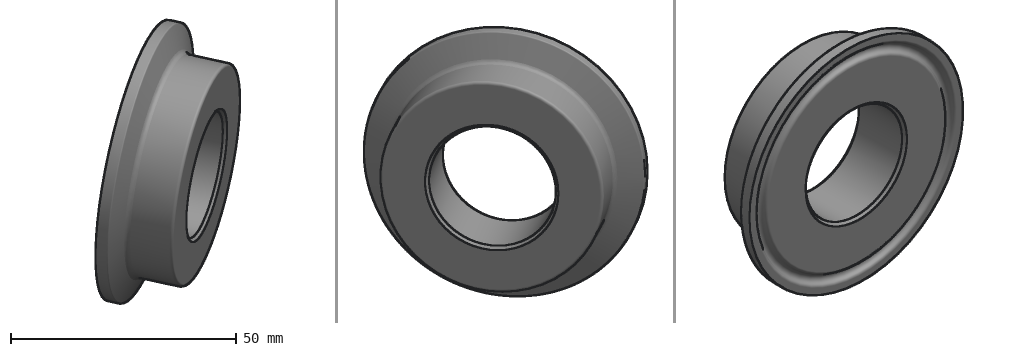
import cadquery as cq
import math

total_length = 15.9
flange_radius = 63.9 / 2
rim_width = 2.9
cone_angle = 20.0
hub_radius = 50.8 / 2
bore_radius = 14.4
bore_chamfer = 0.75

rim_fillet = 0.4
hub_root_fillet = 1.2
hub_end_fillet = 0.7

groove_center_radius = 28.25
groove_arc_radius = 1.2
groove_depth = 1.3
groove_wall_angle = 60.0
lip_radius = 0.8

cone_end = rim_width + (flange_radius - hub_radius) * math.tan(math.radians(cone_angle))


def turn(outline):
    """Revolve a closed XY outline fully about the X axis."""
    return outline.close().revolve(360, (0, 0, 0), (1, 0, 0))


def fillet_circle(body, x, radius):
    """Round the circular edge that lies in the plane at x."""
    margin = 0.05
    reach = 2 * flange_radius
    slab = cq.selectors.BoxSelector(
        (x - margin, -reach, -reach), (x + margin, reach, reach), boundingbox=True
    )
    return body.edges(slab).fillet(radius)


def make_body():
    """Solid flange with a conical back and a cylindrical hub."""
    outline = cq.Workplane("XY").polyline([
        (0, 0),
        (0, flange_radius),
        (rim_width, flange_radius),
        (cone_end, hub_radius),
        (total_length, hub_radius),
        (total_length, 0),
    ])
    body = turn(outline)
    body = fillet_circle(body, rim_width, rim_fillet)
    body = fillet_circle(body, cone_end, hub_root_fillet)
    return fillet_circle(body, total_length, hub_end_fillet)


def make_bore():
    """Through bore that widens in a 45 degree chamfer at both ends."""
    mouth_radius = bore_radius + bore_chamfer
    outline = cq.Workplane("XY").polyline([
        (0, 0),
        (0, mouth_radius),
        (bore_chamfer, bore_radius),
        (total_length - bore_chamfer, bore_radius),
        (total_length, mouth_radius),
        (total_length, 0),
    ])
    return turn(outline)


def make_groove():
    """Ring whose floor arc runs through a straight wall into a rounded lip on each side."""
    slope = math.radians(groove_wall_angle)
    floor_end_offset = groove_arc_radius * math.sin(slope)
    floor_end_x = groove_depth - groove_arc_radius * (1 - math.cos(slope))
    lip_end_x = lip_radius * (1 - math.cos(slope))
    lip_end_offset = floor_end_offset + (floor_end_x - lip_end_x) / math.tan(slope)
    rim_offset = lip_end_offset + lip_radius * math.sin(slope)
    lip_mid_offset = rim_offset - lip_radius * math.sin(slope / 2)
    lip_mid_x = lip_radius * (1 - math.cos(slope / 2))

    def inner(x, offset):
        return (x, groove_center_radius - offset)

    def outer(x, offset):
        return (x, groove_center_radius + offset)

    outline = (
        cq.Workplane("XY")
        .moveTo(*inner(0, rim_offset))
        .threePointArc(inner(lip_mid_x, lip_mid_offset), inner(lip_end_x, lip_end_offset))
        .lineTo(*inner(floor_end_x, floor_end_offset))
        .threePointArc((groove_depth, groove_center_radius), outer(floor_end_x, floor_end_offset))
        .lineTo(*outer(lip_end_x, lip_end_offset))
        .threePointArc(outer(lip_mid_x, lip_mid_offset), outer(0, rim_offset))
    )
    return turn(outline)


result = make_body().cut(make_bore()).cut(make_groove())